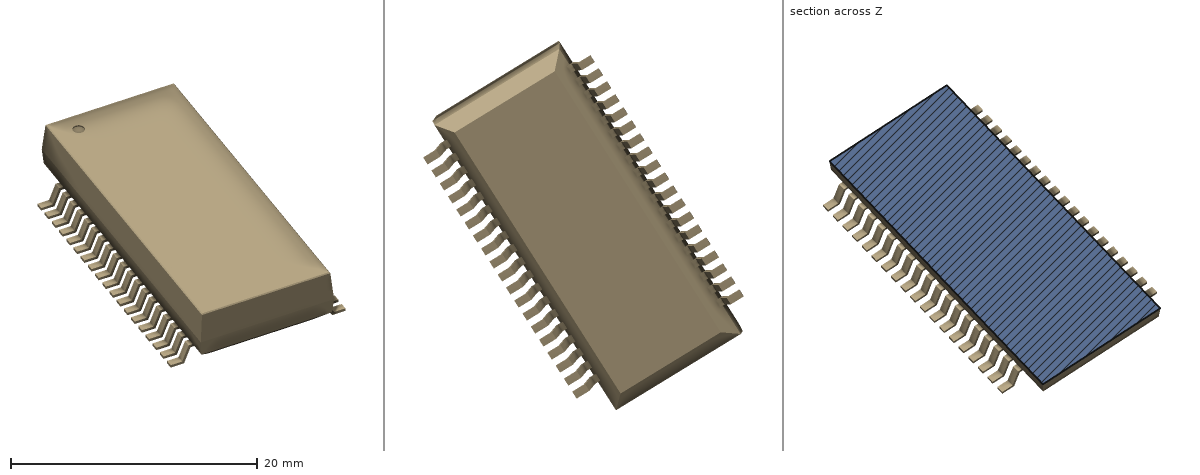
import cadquery as cq
import math

body_length = 28.1
body_width = 12.2
lead_span = 16.0
total_height = 5.82

base_z = 0.53
shoulder_z = 1.71
parting_z = 3.12
draft_angle = 5.0
base_angle = 45.0
top_edge_chamfer = 0.08

dimple_diameter = 1.0
dimple_depth = 0.15
dimple_x = -12.03
dimple_y = -3.77

leads_per_side = 19
lead_row_length = 22.87
lead_pitch = lead_row_length / (leads_per_side - 1)
lead_width = 0.65
lead_thickness = 0.25
lead_knee_y = 6.35
lead_foot_y = 6.95
lead_root_y = 5.48
first_lead_x = -(leads_per_side - 2) / 2 * lead_pitch


def tapered_block(length, width, z, height, taper):
    """Rectangular block growing from z by height, narrowing by taper degrees."""
    return cq.Workplane("XY").workplane(offset=z).rect(length, width).extrude(height, taper=taper)


def make_body():
    """Moulded body: two drafted halves meeting at the parting line above a steeply tapered base."""
    shoulder_drop = parting_z - shoulder_z
    shoulder_inset = shoulder_drop * math.tan(math.radians(draft_angle))
    shoulder_length = body_length - 2 * shoulder_inset
    shoulder_width = body_width - 2 * shoulder_inset

    upper = tapered_block(body_length, body_width, parting_z, total_height - parting_z, draft_angle)
    upper = upper.faces(">Z").edges().chamfer(top_edge_chamfer)
    lower = tapered_block(body_length, body_width, parting_z, -shoulder_drop, draft_angle)
    base = tapered_block(shoulder_length, shoulder_width, shoulder_z, base_z - shoulder_z, base_angle)
    return upper.union(lower).union(base)


def make_dimple():
    """Cutter for the round pin 1 mark."""
    top = cq.Workplane("XY").workplane(offset=total_height)
    return top.center(dimple_x, dimple_y).circle(dimple_diameter / 2).extrude(-dimple_depth)


def make_lead():
    """Gull-wing lead of constant thickness on the +Y side, centred on X = 0."""
    leg_run = lead_foot_y - lead_knee_y
    leg_drop = shoulder_z - lead_thickness
    leg_angle = math.atan2(leg_drop, leg_run)
    bend_shift = lead_thickness * math.tan(leg_angle / 2)
    outline = [
        (lead_root_y, shoulder_z),
        (lead_knee_y, shoulder_z),
        (lead_foot_y, lead_thickness),
        (lead_span / 2, lead_thickness),
        (lead_span / 2, 0),
        (lead_foot_y - bend_shift, 0),
        (lead_knee_y - bend_shift, shoulder_z - lead_thickness),
        (lead_root_y, shoulder_z - lead_thickness),
    ]
    return cq.Workplane("YZ").polyline(outline).close().extrude(lead_width / 2, both=True)


result = make_body().cut(make_dimple())

lead = make_lead()
opposite_lead = lead.mirror("XZ")
for index in range(leads_per_side):
    position = (first_lead_x + index * lead_pitch, 0, 0)
    result = result.union(lead.translate(position)).union(opposite_lead.translate(position))